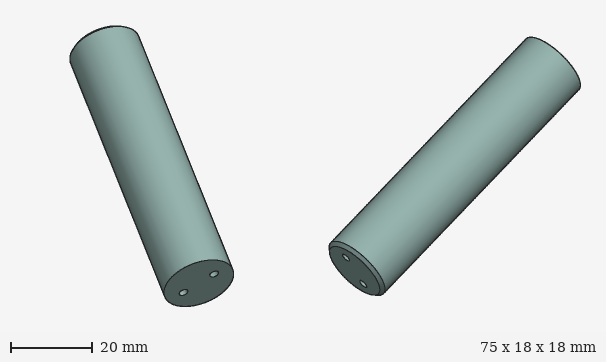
import cadquery as cq

rod_length = 75.0
rod_diameter = 18.0
rod_chamfer = 0.9

channel_count = 2
channel_diameter = 2.25
channel_circle_radius = 4.5
channel_start_angle = 52.0
channel_lead = 172.5
channel_twist = 360.0 * rod_length / channel_lead


def make_rod():
    """Cylinder centred on the X axis, with its -X rim chamfered."""
    rod = cq.Workplane("YZ").circle(rod_diameter / 2).extrude(rod_length)
    return rod.faces("<X").chamfer(rod_chamfer)


def make_channels():
    """Twisted bars, round in every section across the rod axis."""
    centres = cq.Workplane("YZ").polarArray(
        channel_circle_radius, channel_start_angle, 360.0, channel_count
    )
    return centres.circle(channel_diameter / 2).twistExtrude(rod_length, channel_twist)


result = make_rod().cut(make_channels())